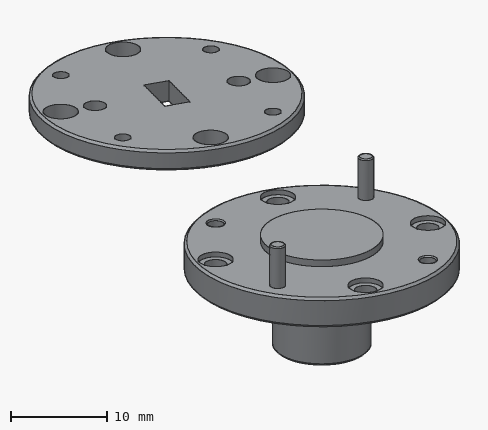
import cadquery as cq
import math

disc_diameter = 28.55
overall_length = 68.8
overall_height = 16.6
centre_spacing = overall_length - disc_diameter
centre_offset_y = 0.75
bolt_circle_radius = 11.9
edge_chamfer = 0.3
recess_diameter = 3.65

plate_thickness = 2.35
plate_dowel_hole_diameter = 1.7
inner_hole_diameter = 2.4
inner_hole_radius = 8.05
window_length = 5.7
window_width = 2.8

flange_thickness = 3.4
boss_diameter = 12.7
boss_height = 0.75
stem_diameter = 10.25
stem_length = 8.5
screw_hole_diameter = 2.35
counterbore_depth = 0.55
dowel_hole_diameter = 1.7
dowel_hole_chamfer = 0.15

pin_diameter = 1.65
pin_protrusion = overall_height - stem_length - flange_thickness
pin_chamfer = 0.15

plate_centre = (0, 0)
flange_centre = (centre_spacing, centre_offset_y)


def circle_points(centre, radius, angles):
    """Points around a centre at the given angles in degrees."""
    return [
        (
            centre[0] + radius * math.cos(math.radians(angle)),
            centre[1] + radius * math.sin(math.radians(angle)),
        )
        for angle in angles
    ]


pin_points = circle_points(flange_centre, bolt_circle_radius, (135, 315))


def cylinder(points, diameter, bottom, top):
    """Upright cylinders at the given points between two heights."""
    return (
        cq.Workplane("XY", origin=(0, 0, bottom))
        .pushPoints(points)
        .circle(diameter / 2)
        .extrude(top - bottom)
    )


def disc(centre, thickness):
    """Round plate below Z = 0 with both rims chamfered."""
    return cylinder([centre], disc_diameter, -thickness, 0).faces("<Z or >Z").edges().chamfer(edge_chamfer)


def make_cover_plate():
    screw_points = circle_points(plate_centre, bolt_circle_radius, (0, 90, 180, 270))
    dowel_points = circle_points(plate_centre, bolt_circle_radius, (45, 135, 225, 315))
    inner_points = circle_points(plate_centre, inner_hole_radius, (90, 270))
    window = (
        cq.Workplane("XY")
        .center(*plate_centre)
        .rect(window_length, window_width)
        .extrude(-plate_thickness)
    )
    return (
        disc(plate_centre, plate_thickness)
        .cut(cylinder(screw_points, recess_diameter, -plate_thickness, 0))
        .cut(cylinder(dowel_points, plate_dowel_hole_diameter, -plate_thickness, 0))
        .cut(cylinder(inner_points, inner_hole_diameter, -plate_thickness, 0))
        .cut(window)
    )


def dowel_hole_cutter(points):
    """Through holes that widen in a chamfer at the upper face."""
    mouth = (
        cq.Workplane("XY")
        .pushPoints(points)
        .circle(dowel_hole_diameter / 2 + dowel_hole_chamfer)
        .extrude(-dowel_hole_chamfer, taper=45)
    )
    return cylinder(points, dowel_hole_diameter, -flange_thickness, 0).union(mouth)


def make_flange():
    screw_points = circle_points(flange_centre, bolt_circle_radius, (0, 90, 180, 270))
    open_points = circle_points(flange_centre, bolt_circle_radius, (45, 225))
    boss = cylinder([flange_centre], boss_diameter, 0, boss_height)
    stem_bottom = -flange_thickness - stem_length
    stem = cylinder([flange_centre], stem_diameter, stem_bottom, -flange_thickness)
    stem = stem.faces("<Z").edges().chamfer(edge_chamfer)
    return (
        disc(flange_centre, flange_thickness)
        .union(boss)
        .union(stem)
        .cut(cylinder(screw_points, screw_hole_diameter, -flange_thickness, 0))
        .cut(cylinder(screw_points, recess_diameter, -counterbore_depth, 0))
        .cut(dowel_hole_cutter(open_points))
        .cut(cylinder(pin_points, pin_diameter, -flange_thickness, 0))
    )


def make_pin(point):
    """Pin filling its hole in the flange and standing above the upper face."""
    pin = cylinder([point], pin_diameter, -flange_thickness, pin_protrusion)
    return pin.faces(">Z").edges().chamfer(pin_chamfer)


cover_plate = make_cover_plate()
flange = make_flange()
pins = [make_pin(point) for point in pin_points]

result = cq.Compound.makeCompound(
    [cover_plate.val(), flange.val(), *[pin.val() for pin in pins]]
)